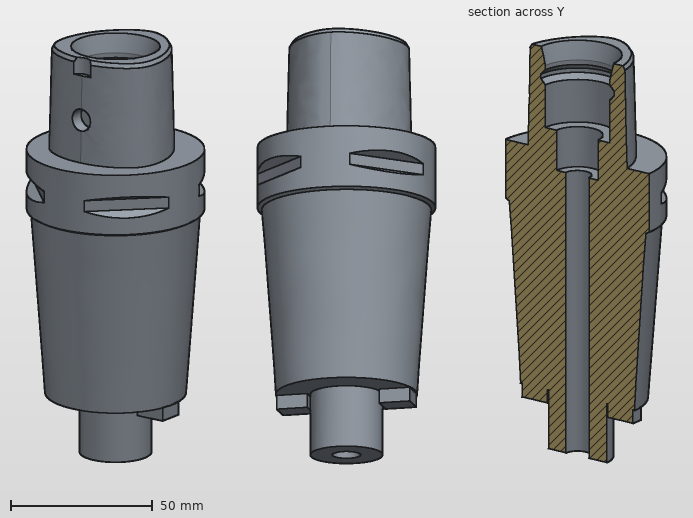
import cadquery as cq
import math


shank_length = 38.0
polygon_diameter = 44.3
lobe_offset = 1.4
lobe_count = 3
half_outline_spans = 24
taper_ratio = 1 / 20
shank_chamfer_height = 1.5
shank_chamfer_inset = shank_chamfer_height * math.tan(math.radians(30))

flange_diameter = 63.0
flange_height = 22.0
flange_chamfer_height = 0.8
body_top_diameter = 60.0

slot_count = 4
slot_centre_z = -12.0
slot_floor_distance = 27.65
slot_floor_height = 4.0
slot_flank_angle = math.radians(26)
slot_length = 40.0

body_bottom_z = -90.0
body_bottom_diameter = 50.0
tang_span = 48.6
tang_gap = 26.2
tang_width = 9.5
tang_height = 5.0
pilot_diameter = 25.6
pilot_length = 22.0
pilot_bottom_z = body_bottom_z - pilot_length

mouth_diameter = 31.5
mouth_depth = 6.7
socket_diameter = 28.0
socket_depth = 30.0
groove_diameter = 32.0
groove_start_depth = 8.5
groove_flat = 1.6
groove_flank = (groove_diameter - socket_diameter) / 2
counterbore_diameter = 18.0
counterbore_depth = 45.0
through_diameter = 10.0

notch_radius = 4.5
notch_depth = 6.0
notch_centre_y = -22.25
side_hole_diameter = 8.0
side_hole_depth_from_end = 22.3
side_hole_floor_y = -15.0


def polygon_point(angle, radius, z):
    """Point of the three-lobed outline whose outward normal has the given angle."""
    lobe_angle = lobe_count * (angle - math.pi / 2)
    support = radius + lobe_offset * math.cos(lobe_angle)
    slope = -lobe_count * lobe_offset * math.sin(lobe_angle)
    x = support * math.cos(angle) - slope * math.sin(angle)
    y = support * math.sin(angle) + slope * math.cos(angle)
    return cq.Vector(x, y, z)


def outline_half(start, radius, z):
    """Half of the three-lobed outline at height z, running 180 degrees from the start angle."""
    fractions = [i / half_outline_spans for i in range(half_outline_spans + 1)]
    points = [polygon_point(start + math.pi * fraction, radius, z) for fraction in fractions]
    return cq.Edge.makeSpline(points, parameters=fractions)


def polygon_frustum(bottom_z, bottom_diameter, top_z, top_diameter):
    """Solid between two three-lobed outlines, each split in two on the YZ plane."""
    half_starts = (-math.pi / 2, math.pi / 2)
    bottom_edges = [outline_half(start, bottom_diameter / 2, bottom_z) for start in half_starts]
    top_edges = [outline_half(start, top_diameter / 2, top_z) for start in half_starts]
    faces = [cq.Face.makeRuledSurface(low, high) for low, high in zip(bottom_edges, top_edges)]
    for edges in (bottom_edges, top_edges):
        faces.append(cq.Face.makeFromWires(cq.Wire.assembleEdges(edges)))
    return cq.Workplane("XY").add(cq.Solid.makeSolid(cq.Shell.makeShell(faces)))


def make_shank():
    chamfer_z = shank_length - shank_chamfer_height
    chamfer_diameter = polygon_diameter - taper_ratio * chamfer_z
    tip_diameter = polygon_diameter - taper_ratio * shank_length - 2 * shank_chamfer_inset
    taper = polygon_frustum(0, polygon_diameter, chamfer_z, chamfer_diameter)
    chamfer = polygon_frustum(chamfer_z, chamfer_diameter, shank_length, tip_diameter)
    return taper.union(chamfer)


def revolve_about_axis(profile):
    """Turn a closed (radius, z) profile about the Z axis."""
    return cq.Workplane("YZ").polyline(profile).close().revolve(360, (0, 0), (0, 1))


def make_turned_body():
    flange_radius = flange_diameter / 2
    flange_edge_z = -flange_height
    profile = [
        (0, 0),
        (flange_radius, 0),
        (flange_radius, flange_edge_z),
        (body_top_diameter / 2, flange_edge_z - flange_chamfer_height),
        (body_bottom_diameter / 2, body_bottom_z),
        (pilot_diameter / 2, body_bottom_z),
        (pilot_diameter / 2, pilot_bottom_z),
        (0, pilot_bottom_z),
    ]
    return revolve_about_axis(profile)


def make_tangs():
    tang_length = (tang_span - tang_gap) / 2
    tang_centre_x = (tang_span + tang_gap) / 4
    return (
        cq.Workplane("XY", origin=(0, 0, body_bottom_z))
        .pushPoints([(-tang_centre_x, 0), (tang_centre_x, 0)])
        .rect(tang_length, tang_width)
        .extrude(-tang_height)
    )


def make_gripper_slot(angle):
    """Straight trapezoidal slot across the flange rim, facing the given angle."""
    rim = flange_diameter / 2
    half_floor = slot_floor_height / 2
    half_mouth = half_floor + (rim - slot_floor_distance) * math.tan(slot_flank_angle)
    section = [
        (slot_floor_distance, slot_centre_z - half_floor),
        (rim, slot_centre_z - half_mouth),
        (rim, slot_centre_z + half_mouth),
        (slot_floor_distance, slot_centre_z + half_floor),
    ]
    slot = cq.Workplane("XZ").polyline(section).close().extrude(slot_length / 2, both=True)
    return slot.rotate((0, 0, 0), (0, 0, 1), angle)


def make_bore():
    """Conical mouth, socket with clamping groove, counterbore and through hole."""
    socket_radius = socket_diameter / 2
    groove_radius = groove_diameter / 2
    groove_top = shank_length - groove_start_depth
    socket_floor = shank_length - socket_depth
    counterbore_floor = shank_length - counterbore_depth
    profile = [
        (0, shank_length),
        (mouth_diameter / 2, shank_length),
        (socket_radius, shank_length - mouth_depth),
        (socket_radius, groove_top),
        (groove_radius, groove_top - groove_flank),
        (groove_radius, groove_top - groove_flank - groove_flat),
        (socket_radius, groove_top - 2 * groove_flank - groove_flat),
        (socket_radius, socket_floor),
        (counterbore_diameter / 2, socket_floor),
        (counterbore_diameter / 2, counterbore_floor),
        (through_diameter / 2, counterbore_floor),
        (through_diameter / 2, pilot_bottom_z),
        (0, pilot_bottom_z),
    ]
    return revolve_about_axis(profile)


def make_notch():
    return (
        cq.Workplane("XY", origin=(0, notch_centre_y, shank_length))
        .circle(notch_radius)
        .extrude(-notch_depth)
    )


def make_side_hole():
    hole_z = shank_length - side_hole_depth_from_end
    return (
        cq.Workplane("XZ", origin=(0, side_hole_floor_y, hole_z))
        .circle(side_hole_diameter / 2)
        .extrude(polygon_diameter / 2)
    )


holder = make_turned_body().union(make_shank()).union(make_tangs())
holder = holder.cut(make_bore()).cut(make_notch()).cut(make_side_hole())
for slot_index in range(slot_count):
    slot_angle = (slot_index + 0.5) * 360 / slot_count
    holder = holder.cut(make_gripper_slot(slot_angle))

result = cq.Workplane("XY").add(holder.solids().val())